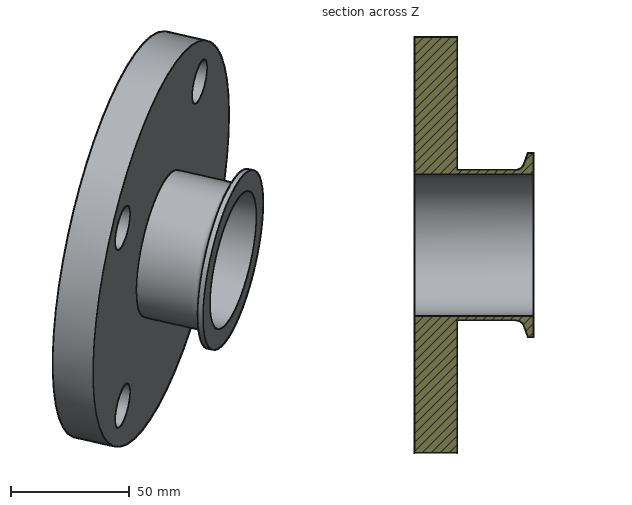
import cadquery as cq
import math

flange_diameter = 175.0
flange_thickness = 18.0
bore_diameter = 59.5

bolt_hole_diameter = 19.0
bolt_circle_diameter = 140.0
bolt_count = 4
first_bolt_angle = 45.0

total_length = 50.0
tube_diameter = 63.5
ferrule_diameter = 77.5
rim_thickness = 2.5
taper_angle = 20.0
neck_radius = 3.5


def make_body():
    """Revolve the outer half profile of flange, tube and ferrule about X."""
    flange_radius = flange_diameter / 2
    tube_radius = tube_diameter / 2
    ferrule_radius = ferrule_diameter / 2
    slope = math.radians(taper_angle)

    rim_back = total_length - rim_thickness
    blend_angle = math.pi / 2 - slope
    blend_rise = neck_radius * (1 - math.cos(blend_angle))
    blend_run = neck_radius * math.sin(blend_angle)
    taper_rise = ferrule_radius - tube_radius - blend_rise
    taper_start = rim_back - taper_rise * math.tan(slope)
    blend_start = taper_start - blend_run
    blend_middle = (
        blend_start + neck_radius * math.sin(blend_angle / 2),
        tube_radius + neck_radius * (1 - math.cos(blend_angle / 2)),
    )

    return (
        cq.Workplane("XY")
        .moveTo(0, 0)
        .lineTo(0, flange_radius)
        .lineTo(flange_thickness, flange_radius)
        .lineTo(flange_thickness, tube_radius)
        .lineTo(blend_start, tube_radius)
        .threePointArc(blend_middle, (taper_start, tube_radius + blend_rise))
        .lineTo(rim_back, ferrule_radius)
        .lineTo(total_length, ferrule_radius)
        .lineTo(total_length, 0)
        .close()
        .revolve(360, (0, 0, 0), (1, 0, 0))
    )


def make_bore():
    """Straight bore through the whole part."""
    return cq.Workplane("YZ").circle(bore_diameter / 2).extrude(total_length)


def make_bolt_holes():
    """Through holes spaced evenly on the bolt circle."""
    return (
        cq.Workplane("YZ")
        .polarArray(bolt_circle_diameter / 2, first_bolt_angle, 360, bolt_count)
        .circle(bolt_hole_diameter / 2)
        .extrude(flange_thickness)
    )


result = make_body().cut(make_bore()).cut(make_bolt_holes())